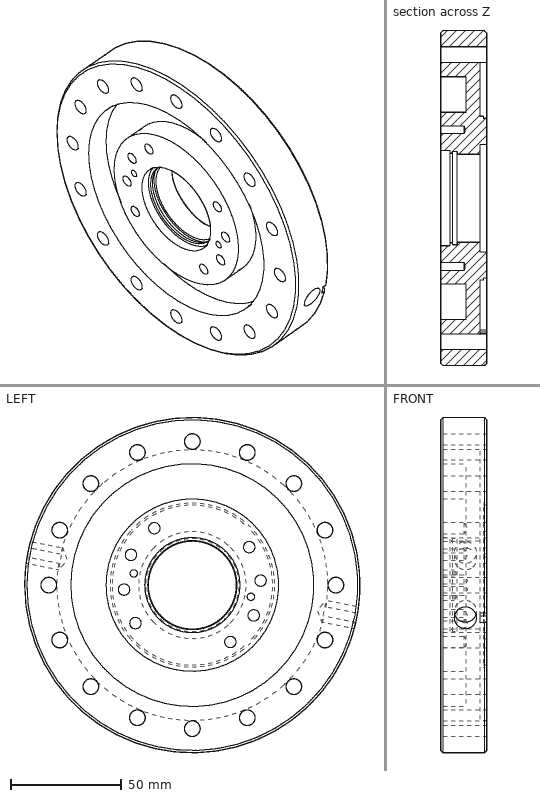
import cadquery as cq
import math

thickness = 21.0
outer_radius = 76.0
edge_chamfer = 1.0
front_x = -thickness / 2
back_x = thickness / 2

groove_outer_radius = 55.0
groove_inner_radius = 39.0
groove_depth = 11.4

seat_radius = 21.6
seat_depth = 4.3
land_radius = 20.2
land_length = 1.2
ring_groove_radius = 21.1
ring_groove_width = 2.0
bore_radius = 19.9

recess_depth = 3.0
recess_radius = 61.4
boss_base_radius = 37.2
boss_rim_radius = 36.3
boss_rim_height = recess_depth / 2
counterbore_radius = 24.3

bolt_count = 16
bolt_circle_radius = 65.0
bolt_hole_radius = 3.5
bolt_pitch = 360 / bolt_count

feature_angle = bolt_pitch / 2
sides = (feature_angle, feature_angle + 180)
drill_point_angle = 118

hub_hole_circle_radius = 31.0
hub_hole_radius = 2.6
hub_hole_depth = 10.6
hub_hole_offsets = (-45, -15, 15, 45)
pin_hole_circle_radius = 27.0
pin_hole_radius = 1.7
pin_hole_depth = 6.1

radial_hole_radius = 5.0
radial_hole_depth = 15.2
radial_hole_x = 0.8
radial_hole_lead_in = 1.5

notch_length = recess_depth
notch_width = 4.3
notch_overlap = 0.9
notch_reach = outer_radius - recess_radius + notch_overlap


def disc(radius, start_x, length):
    return cq.Workplane("YZ").workplane(offset=start_x).circle(radius).extrude(length)


def polar_point(radius, angle):
    return (radius * math.cos(math.radians(angle)), radius * math.sin(math.radians(angle)))


def drill(radius, depth, start, direction):
    """Blind drilled hole: a cylinder ending in a conical point."""
    point_length = radius / math.tan(math.radians(drill_point_angle / 2))
    start = cq.Vector(*start)
    direction = cq.Vector(*direction)
    barrel = cq.Solid.makeCylinder(radius, depth, start, direction)
    point = cq.Solid.makeCone(radius, 0, point_length, start + direction * depth, direction)
    return cq.Workplane(barrel.fuse(point))


def front_drill(radius, depth, circle_radius, angle):
    y, z = polar_point(circle_radius, angle)
    return drill(radius, depth, (front_x, y, z), (1, 0, 0))


def radial_drill(angle):
    start_y, start_z = polar_point(outer_radius, angle)
    inward_y, inward_z = polar_point(-1, angle)
    return drill(
        radial_hole_radius,
        radial_hole_depth + radial_hole_lead_in,
        (radial_hole_x, start_y - radial_hole_lead_in * inward_y, start_z - radial_hole_lead_in * inward_z),
        (0, inward_y, inward_z),
    )


def rim_notch(angle):
    block = cq.Workplane("XY").box(notch_length, 2 * notch_reach, notch_width)
    block = block.translate((back_x - notch_length / 2, outer_radius, 0))
    return block.rotate((0, 0, 0), (1, 0, 0), angle)


def stepped_bore():
    land_x = front_x + seat_depth
    ring_groove_x = land_x + land_length
    bore = disc(bore_radius, front_x, thickness)
    bore = bore.union(disc(seat_radius, front_x, seat_depth))
    bore = bore.union(disc(land_radius, land_x, land_length))
    bore = bore.union(disc(ring_groove_radius, ring_groove_x, ring_groove_width))
    return bore.union(disc(counterbore_radius, back_x - recess_depth, recess_depth))


def back_recess():
    recess_x = back_x - recess_depth
    rim_x = back_x - boss_rim_height
    boss = disc(boss_base_radius, recess_x, recess_depth - boss_rim_height)
    boss = boss.union(disc(boss_rim_radius, rim_x, boss_rim_height))
    return disc(recess_radius, recess_x, recess_depth).cut(boss)


flange = disc(outer_radius, front_x, thickness).edges().chamfer(edge_chamfer)
front_groove = disc(groove_outer_radius, front_x, groove_depth).cut(
    disc(groove_inner_radius, front_x, groove_depth)
)
result = flange.cut(front_groove).cut(back_recess()).cut(stepped_bore())

for index in range(bolt_count):
    y, z = polar_point(bolt_circle_radius, index * bolt_pitch)
    result = result.cut(disc(bolt_hole_radius, front_x, thickness).translate((0, y, z)))

for side in sides:
    for offset in hub_hole_offsets:
        result = result.cut(
            front_drill(hub_hole_radius, hub_hole_depth, hub_hole_circle_radius, side + offset)
        )
    result = result.cut(front_drill(pin_hole_radius, pin_hole_depth, pin_hole_circle_radius, side))
    result = result.cut(radial_drill(side))
    result = result.cut(rim_notch(side))